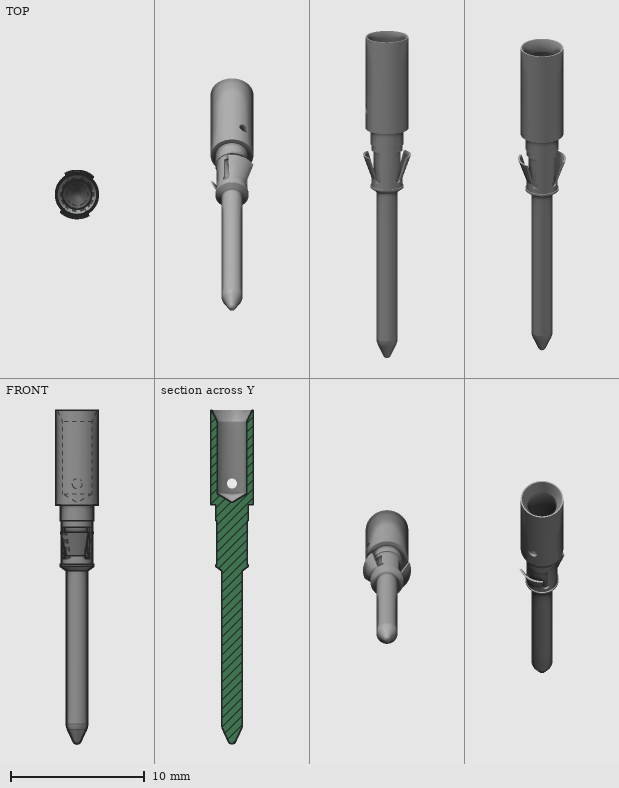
import cadquery as cq
import math

total_length = 25.0

barrel_radius = 1.6
barrel_length = 7.12
bore_radius = 1.1
bore_depth = 6.25
drill_point_angle = 118.0
entry_radius = 1.5
entry_depth = 0.85
inspection_radius = 0.38
inspection_depth = 5.5

neck_radius = 1.25
neck_length = 1.18
clip_radius = 1.18
clip_thickness = 0.15
clip_length = 3.25
collar_height = 0.15
collar_taper_height = 0.32

pin_radius = 0.8
tip_radius = 0.3
tip_half_angle = math.radians(25.0)
shoulder_radius = 1.0

lance_count = 2
lance_centre_angle = 263.0
lance_span = 72.0
lance_tip_radius = 1.8
lance_height = 1.75
window_span = 114.0
window_top_gap = 0.48
lance_clearance = 0.38
relief_radius = 0.25
relief_offset_angle = 50.0

barrel_bottom = total_length - barrel_length
neck_bottom = barrel_bottom - neck_length
collar_top = neck_bottom - clip_length
collar_bottom = collar_top - collar_height
pin_top = collar_bottom - collar_taper_height
core_radius = clip_radius - clip_thickness
window_top = neck_bottom - window_top_gap
lance_top = window_top - lance_clearance
hinge_height = lance_top - lance_height


def make_body():
    """Revolved outline, from the rounded tip up to the barrel mouth."""
    ball_edge_radius = tip_radius * math.cos(tip_half_angle)
    ball_edge_height = tip_radius * (1 - math.sin(tip_half_angle))
    ball_mid_angle = (math.pi / 2 + tip_half_angle) / 2
    ball_mid = (
        tip_radius * math.cos(ball_mid_angle),
        tip_radius * (1 - math.sin(ball_mid_angle)),
    )

    corner_height = ball_edge_height + (pin_radius - ball_edge_radius) / math.tan(tip_half_angle)
    tangent_length = shoulder_radius * math.tan(tip_half_angle / 2)
    cone_top = (
        pin_radius - tangent_length * math.sin(tip_half_angle),
        corner_height - tangent_length * math.cos(tip_half_angle),
    )

    return (
        cq.Workplane("XZ")
        .moveTo(0, 0)
        .threePointArc(ball_mid, (ball_edge_radius, ball_edge_height))
        .lineTo(*cone_top)
        .tangentArcPoint((pin_radius, corner_height + tangent_length), relative=False)
        .lineTo(pin_radius, pin_top)
        .lineTo(neck_radius, collar_bottom)
        .lineTo(neck_radius, collar_top)
        .lineTo(clip_radius, collar_top)
        .lineTo(clip_radius, neck_bottom)
        .lineTo(neck_radius, neck_bottom)
        .lineTo(neck_radius, barrel_bottom)
        .lineTo(barrel_radius, barrel_bottom)
        .lineTo(barrel_radius, total_length)
        .lineTo(0, total_length)
        .close()
        .revolve(360, (0, 0), (0, 1))
    )


def make_bore():
    """Wire bore with a flared entry and a drill point at the bottom."""
    bore_bottom = total_length - bore_depth
    point_height = bore_radius / math.tan(math.radians(drill_point_angle / 2))
    return (
        cq.Workplane("XZ")
        .moveTo(0, total_length)
        .lineTo(entry_radius, total_length)
        .lineTo(bore_radius, total_length - entry_depth)
        .lineTo(bore_radius, bore_bottom)
        .lineTo(0, bore_bottom - point_height)
        .close()
        .revolve(360, (0, 0), (0, 1))
    )


def make_inspection_hole():
    """Cross hole through the +Y wall of the barrel into the bore."""
    axis_point = cq.Vector(0, 0, total_length - inspection_depth)
    return cq.Workplane(cq.Solid.makeCylinder(inspection_radius, barrel_radius, axis_point, cq.Vector(0, 1, 0)))


def revolve_sector(profile, centre_angle, span):
    """Revolve an (r, z) polygon around Z over a span centred on centre_angle."""
    sector = cq.Workplane("XZ").polyline(profile).close().revolve(span, (0, 0), (0, 1))
    centre = sector.val().Center()
    current_angle = math.degrees(math.atan2(centre.y, centre.x))
    return sector.rotate((0, 0, 0), (0, 0, 1), centre_angle - current_angle)


def make_window(centre_angle):
    """Opening in the clip sleeve, with a round relief at each lower corner."""
    opening = revolve_sector(
        [
            (core_radius, hinge_height),
            (neck_radius, hinge_height),
            (neck_radius, window_top),
            (core_radius, window_top),
        ],
        centre_angle,
        window_span,
    )
    core = cq.Workplane("XY").workplane(offset=collar_top).circle(core_radius).extrude(clip_length)
    for side in (-1, 1):
        angle = math.radians(centre_angle + side * relief_offset_angle)
        direction = cq.Vector(math.cos(angle), math.sin(angle), 0)
        drill = cq.Solid.makeCylinder(relief_radius, neck_radius, cq.Vector(0, 0, hinge_height), direction)
        opening = opening.union(cq.Workplane(drill).cut(core))
    return opening


def make_lance(centre_angle):
    """Spring tongue flaring outward as a conical strip from its hinge."""
    return revolve_sector(
        [
            (core_radius, hinge_height),
            (clip_radius, hinge_height),
            (lance_tip_radius, lance_top),
            (lance_tip_radius - clip_thickness, lance_top),
        ],
        centre_angle,
        lance_span,
    )


result = make_body().cut(make_bore()).cut(make_inspection_hole())
for index in range(lance_count):
    lance_angle = lance_centre_angle + index * 360 / lance_count
    result = result.cut(make_window(lance_angle)).union(make_lance(lance_angle))